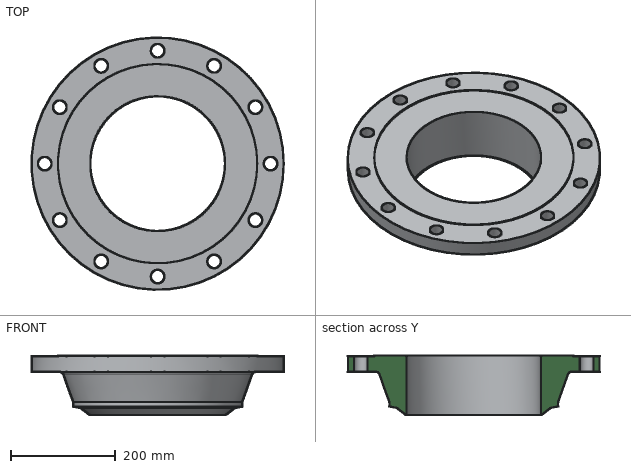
import cadquery as cq
import math


flange_diameter = 482.6
overall_height = 114.3
flange_thickness = 31.75

face_diameter = 381.0
face_height = 1.6

hub_diameter = 365.0
pipe_diameter = 323.85
pipe_wall = 33.32
taper_start_height = 25.0
hub_fillet_radius = 8.0

root_land = 1.6
inner_bevel_angle = 37.5
outer_bevel_angle = 10.0
inner_bevel_wall = 19.0

bolt_count = 12
bolt_circle_diameter = 431.8
bolt_hole_diameter = 25.4

flange_radius = flange_diameter / 2
face_radius = face_diameter / 2
hub_radius = hub_diameter / 2
pipe_radius = pipe_diameter / 2
bore_radius = pipe_radius - pipe_wall
land_radius = bore_radius + root_land
bevel_break_radius = bore_radius + inner_bevel_wall

weld_end_z = -overall_height / 2
face_z = overall_height / 2
flange_top_z = face_z - face_height
flange_bottom_z = face_z - flange_thickness
taper_start_z = weld_end_z + taper_start_height


def rise(run, angle):
    """Height gained over a radial run at an angle from horizontal."""
    return run * math.tan(math.radians(angle))


def flange_body():
    """Revolve the full half-section, bore included, about Z."""
    bevel_break_z = weld_end_z + rise(bevel_break_radius - land_radius, inner_bevel_angle)
    bevel_top_z = bevel_break_z + rise(pipe_radius - bevel_break_radius, outer_bevel_angle)
    half_section = [
        (bore_radius, weld_end_z),
        (land_radius, weld_end_z),
        (bevel_break_radius, bevel_break_z),
        (pipe_radius, bevel_top_z),
        (pipe_radius, taper_start_z),
        (hub_radius, flange_bottom_z),
        (flange_radius, flange_bottom_z),
        (flange_radius, flange_top_z),
        (face_radius, flange_top_z),
        (face_radius, face_z),
        (bore_radius, face_z),
    ]
    return cq.Workplane("XZ").polyline(half_section).close().revolve(360, (0, 0), (0, 1))


def fillet_hub(body):
    """Round the inside corner between the hub taper and the flange."""
    level_tolerance = 1.0
    underside = cq.selectors.BoxSelector(
        (-hub_radius, -hub_radius, flange_bottom_z - level_tolerance),
        (hub_radius, hub_radius, flange_bottom_z + level_tolerance),
    )
    hub_corner = body.edges(underside).edges(cq.selectors.RadiusNthSelector(0))
    return hub_corner.fillet(hub_fillet_radius)


def drill_bolt_holes(body):
    """Cut the evenly spaced bolt holes, the first one on the X axis."""
    holes = (
        cq.Workplane("XY")
        .workplane(offset=flange_bottom_z)
        .polarArray(bolt_circle_diameter / 2, 0, 360, bolt_count)
        .circle(bolt_hole_diameter / 2)
        .extrude(flange_thickness)
    )
    return body.cut(holes)


result = drill_bolt_holes(fillet_hub(flange_body()))